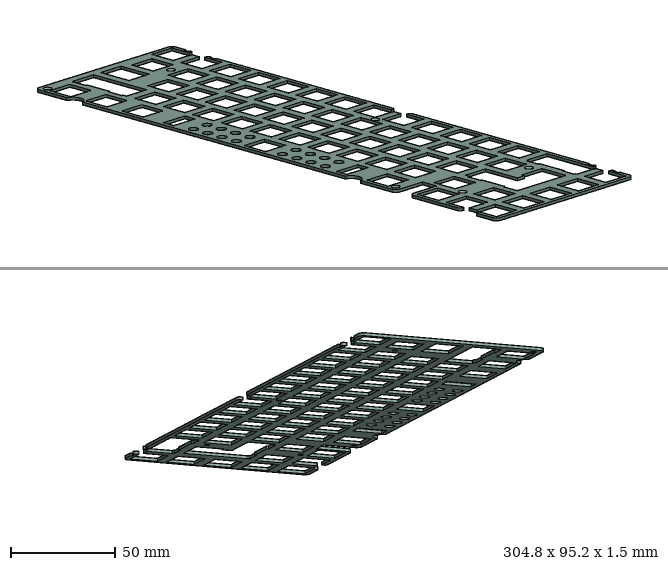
import cadquery as cq

PLATE_LENGTH = 304.8
COLUMNS = 16
ROWS = 5
PITCH = PLATE_LENGTH / COLUMNS
PLATE_WIDTH = ROWS * PITCH
THICKNESS = 1.5
CORNER_RADIUS = 2.7
NUMBER_ROW, TAB_ROW, HOME_ROW, SHIFT_ROW, BOTTOM_ROW = range(ROWS)
PICK_MARGIN = 0.03

SWITCH_SIZE = 14.0
SWITCH_ROWS = (
    [0.5 + i for i in range(13)] + [15.5],
    [0.75] + [2.0 + i for i in range(12)] + [15.5],
    [2.25 + i for i in range(11)] + [15.5],
    [2.75 + i for i in range(10)] + [13.125, 14.5, 15.5],
    [0.75, 2.0, 3.25, 7.5, 11.75, 13.5, 14.5, 15.5],
)
OPENING_RADIUS = 0.5
ROUNDED_BOTTOM_KEYS = 3
CAPS_KEY_LEFT = 5.0
CAPS_KEY_RIGHT = 23.5

BACKSPACE_CENTER = 14.0 * PITCH
BACKSPACE_LENGTH = 33.0
BACKSPACE_STABILIZER_WIDTH = 7.3
SHIFT_CENTER = 21.3
SHIFT_LEFT = 5.0
SHIFT_RIGHT = 40.0
ENTER_CENTER = 13.875 * PITCH
ENTER_LEFT = 245.7
ENTER_RIGHT = 280.7
ENTER_UPPER_LEFT = 265.0
ENTER_NECK_LEFT = 266.7
STABILIZER_SPACING = 23.8
STABILIZER_WIDTH = 8.5
STABILIZER_DROP = 1.0

SPACE_CENTER = 7.5 * PITCH
SPACE_STABILIZER_OFFSET = 3.0 * PITCH
SPACE_STABILIZER_SIZE = (6.7, 15.0)
SPACE_STABILIZER_Y = 10.0

GROUP_CENTERS = [114.0, 172.8]
GROUP_COLUMNS = 4
GROUP_ROWS = 2
GROUP_SPACING = 9.5
GROUP_Y = 9.8
GROUP_HOLE_DIAMETER = 5.0

SCREW_DIAMETER = 2.4
SCREW_HEAD_DIAMETER = 4.3
SCREW_HEAD_ANGLE = 90
SCREW_POINTS = [
    (4.3, 4.3),
    (234.0, 4.3),
    (263.0, 20.5),
    (26.2, 67.0),
    (259.5, 70.5),
    (8.0 * PITCH, 76.2),
]

RIM_GAP_WIDTH = 10.0
RIM_GAP_DEPTH = 3.7
RIM_END_RADIUS = 1.2
TOP_GAPS = [1.0 * PITCH, 8.0 * PITCH, 15.0 * PITCH]
BOTTOM_GAPS = [15.0 * PITCH]
RIM_NOTCH_OFFSET = 8.5
RIM_NOTCH_WIDTH = 3.5
RIM_NOTCH_DEPTH = 1.0

SLOT_CENTER = 12.75 * PITCH
SLOT_WIDTH = 9.0
SLOT_DEPTH = 18.5
ARC_CENTERS = [26.2, 210.0]
ARC_WIDTH = 10.0
ARC_DEPTH = 4.0


def row_center(row):
    """Y of a key row, counted from 0 at the top."""
    return (ROWS - row - 0.5) * PITCH


def cutter(left, right, bottom, top):
    """Block through the plate over a rectangle in plan."""
    return (
        cq.Workplane("XY")
        .box(right - left, top - bottom, THICKNESS, centered=False)
        .translate((left, bottom, 0))
    )


def row_cutter(left, right, row):
    """Opening of switch height in one key row."""
    bottom = row_center(row) - SWITCH_SIZE / 2
    return cutter(left, right, bottom, bottom + SWITCH_SIZE)


def stabilizer_cutters(center, row, width):
    """Two pockets that lower the bottom edge of a wide-key opening."""
    middle = row_center(row)
    bottom = middle - SWITCH_SIZE / 2 - STABILIZER_DROP
    for side in (-1, 1):
        x = center + side * STABILIZER_SPACING / 2
        yield cutter(x - width / 2, x + width / 2, bottom, middle)


def cut_all(body, cutters):
    for tool in cutters:
        body = body.cut(tool)
    return body


def round_edges(body, points, radius):
    """Round the upright edges standing at the given plan points."""
    for x, y in points:
        near = (x - PICK_MARGIN, y - PICK_MARGIN, 0)
        far = (x + PICK_MARGIN, y + PICK_MARGIN, THICKNESS)
        box = cq.selectors.BoxSelector(near, far)
        body = body.edges("|Z").edges(box).fillet(radius)
    return body


def make_blank():
    blank = cutter(0, PLATE_LENGTH, 0, PLATE_WIDTH)
    return blank.edges("|Z").fillet(CORNER_RADIUS)


def cut_bottom_edge(body):
    left = SLOT_CENTER - SLOT_WIDTH / 2
    right = SLOT_CENTER + SLOT_WIDTH / 2
    body = body.cut(cutter(left, right, 0, SLOT_DEPTH))
    body = round_edges(body, [(left, 0), (right, 0)], CORNER_RADIUS)
    for x in ARC_CENTERS:
        arc = (
            cq.Workplane("XY")
            .moveTo(x - ARC_WIDTH / 2, 0)
            .threePointArc((x, ARC_DEPTH), (x + ARC_WIDTH / 2, 0))
            .close()
            .extrude(THICKNESS)
        )
        body = body.cut(arc)
    return body


def cut_rim_gaps(body):
    half = RIM_GAP_WIDTH / 2
    gaps = [(x, PLATE_WIDTH - RIM_GAP_DEPTH, PLATE_WIDTH, PLATE_WIDTH) for x in TOP_GAPS]
    gaps += [(x, 0, RIM_GAP_DEPTH, 0) for x in BOTTOM_GAPS]
    for x, bottom, top, edge in gaps:
        body = body.cut(cutter(x - half, x + half, bottom, top))
        body = round_edges(body, [(x - half, edge), (x + half, edge)], RIM_END_RADIUS)
    for gap in (TOP_GAPS[0], TOP_GAPS[-1]):
        for side in (-1, 1):
            x = gap + side * RIM_NOTCH_OFFSET
            left = x - RIM_NOTCH_WIDTH / 2
            bottom = PLATE_WIDTH - RIM_NOTCH_DEPTH
            body = body.cut(cutter(left, left + RIM_NOTCH_WIDTH, bottom, PLATE_WIDTH))
    return body


def cut_switches(body):
    points = [
        (column * PITCH, row_center(row))
        for row, columns in enumerate(SWITCH_ROWS)
        for column in columns
    ]
    squares = (
        cq.Workplane("XY").pushPoints(points).rect(SWITCH_SIZE, SWITCH_SIZE).extrude(THICKNESS)
    )
    body = body.cut(squares).cut(row_cutter(CAPS_KEY_LEFT, CAPS_KEY_RIGHT, HOME_ROW))
    half = SWITCH_SIZE / 2
    corners = [
        (column * PITCH + side * half, row_center(BOTTOM_ROW) + end * half)
        for column in SWITCH_ROWS[BOTTOM_ROW][:ROUNDED_BOTTOM_KEYS]
        for side in (-1, 1)
        for end in (-1, 1)
    ]
    return round_edges(body, corners, OPENING_RADIUS)


def cut_backspace(body):
    half = BACKSPACE_LENGTH / 2
    body = body.cut(row_cutter(BACKSPACE_CENTER - half, BACKSPACE_CENTER + half, NUMBER_ROW))
    pockets = stabilizer_cutters(BACKSPACE_CENTER, NUMBER_ROW, BACKSPACE_STABILIZER_WIDTH)
    return cut_all(body, pockets)


def cut_left_shift(body):
    body = body.cut(row_cutter(SHIFT_LEFT, SHIFT_RIGHT, SHIFT_ROW))
    return cut_all(body, stabilizer_cutters(SHIFT_CENTER, SHIFT_ROW, STABILIZER_WIDTH))


def cut_enter(body):
    body = body.cut(row_cutter(ENTER_LEFT, ENTER_RIGHT, HOME_ROW))
    body = body.cut(row_cutter(ENTER_UPPER_LEFT, ENTER_RIGHT, TAB_ROW))
    neck = cutter(ENTER_NECK_LEFT, ENTER_RIGHT, row_center(HOME_ROW), row_center(TAB_ROW))
    body = body.cut(neck)
    body = cut_all(body, stabilizer_cutters(ENTER_CENTER, HOME_ROW, STABILIZER_WIDTH))
    upper_corner = (ENTER_RIGHT, row_center(TAB_ROW) + SWITCH_SIZE / 2)
    return round_edges(body, [upper_corner], OPENING_RADIUS)


def cut_space_bar(body):
    width, height = SPACE_STABILIZER_SIZE
    bottom = SPACE_STABILIZER_Y - height / 2
    for side in (-1, 1):
        x = SPACE_CENTER + side * SPACE_STABILIZER_OFFSET
        body = body.cut(cutter(x - width / 2, x + width / 2, bottom, bottom + height))
    return body


def cut_hole_groups(body):
    for x in GROUP_CENTERS:
        holes = (
            cq.Workplane("XY")
            .center(x, GROUP_Y)
            .rarray(GROUP_SPACING, GROUP_SPACING, GROUP_COLUMNS, GROUP_ROWS)
            .circle(GROUP_HOLE_DIAMETER / 2)
            .extrude(THICKNESS)
        )
        body = body.cut(holes)
    return body


def cut_screw_holes(body):
    return (
        body.faces(">Z")
        .workplane(origin=(0, 0, THICKNESS))
        .pushPoints(SCREW_POINTS)
        .cskHole(SCREW_DIAMETER, SCREW_HEAD_DIAMETER, SCREW_HEAD_ANGLE)
    )


result = make_blank()
result = cut_bottom_edge(result)
result = cut_rim_gaps(result)
result = cut_switches(result)
result = cut_backspace(result)
result = cut_left_shift(result)
result = cut_enter(result)
result = cut_space_bar(result)
result = cut_hole_groups(result)
result = cut_screw_holes(result)